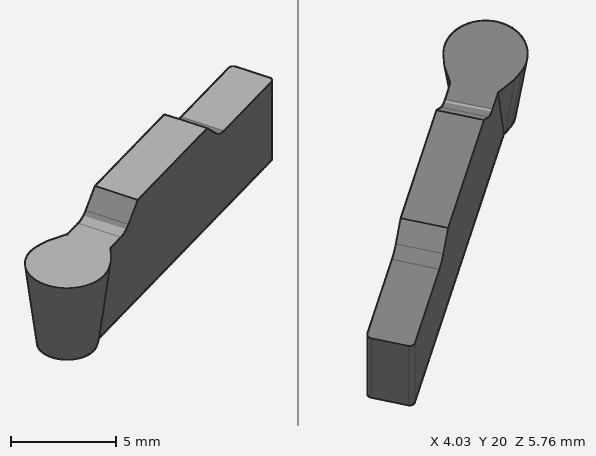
import cadquery as cq
import math

blade_width = 2.34
blade_end_y = 18.0
body_height = 4.6
end_fillet = 0.25

total_height = 5.76
hump_front_y = 4.77
hump_back_y = 11.51
hump_slope_angle = 44.0
hump_foot_radius = 1.05

head_radius = 2.015
draft_angle = 7.0
neck_tangent_angle = 19.0
neck_tangent_length = 0.53
neck_flare_angle = 30.0


def make_blade():
    """Bar with a sloped hump on top and rounded vertical edges at its free end."""
    hump_run = (total_height - body_height) / math.tan(math.radians(hump_slope_angle))
    half_width = blade_width / 2
    side_outline = [
        (0, 0),
        (blade_end_y, 0),
        (blade_end_y, body_height),
        (hump_back_y + hump_run, body_height),
        (hump_back_y, total_height),
        (hump_front_y, total_height),
        (hump_front_y - hump_run, body_height),
        (0, body_height),
    ]
    bar = cq.Workplane("YZ").polyline(side_outline).close().extrude(half_width, both=True)

    for foot_y in (hump_front_y - hump_run, hump_back_y + hump_run):
        foot_edge = cq.selectors.NearestToPointSelector((0, foot_y, body_height))
        bar = bar.edges(foot_edge).fillet(hump_foot_radius)
    return bar.faces(">Y").edges("|Z").fillet(end_fillet)


def head_section(height, inset):
    """Teardrop wire at the given height, with all its sides moved inward by inset."""
    radius = head_radius - inset
    tangent = math.radians(neck_tangent_angle)
    flare = math.radians(neck_flare_angle)
    turn = flare - tangent

    flare_distance = (
        head_radius * math.cos(turn) + neck_tangent_length * math.sin(turn) - inset
    )
    tangent_length = (flare_distance - radius * math.cos(turn)) / math.sin(turn)
    apex_y = flare_distance / math.sin(flare)

    arc_x = radius * math.cos(tangent)
    arc_y = radius * math.sin(tangent)
    neck_x = arc_x - tangent_length * math.sin(tangent)
    neck_y = arc_y + tangent_length * math.cos(tangent)

    section = (
        cq.Workplane("XY", origin=(0, 0, height))
        .moveTo(arc_x, arc_y)
        .lineTo(neck_x, neck_y)
        .lineTo(0, apex_y)
        .lineTo(-neck_x, neck_y)
        .lineTo(-arc_x, arc_y)
        .threePointArc((0, -radius), (arc_x, arc_y))
        .close()
    )
    return section.val()


def make_head():
    """Drafted head and neck, widest at the top; the neck's point lies inside the blade."""
    bottom_inset = body_height * math.tan(math.radians(draft_angle))
    top = head_section(body_height, 0)
    bottom = head_section(0, bottom_inset)
    return cq.Workplane(cq.Solid.makeLoft([bottom, top], True))


result = make_blade().union(make_head()).clean()